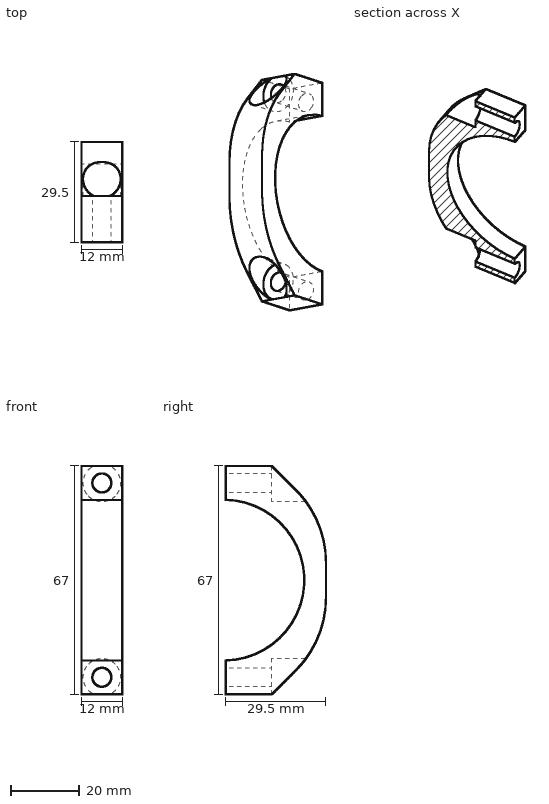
import cadquery as cq

width = 12.0
depth = 29.5
height = 67.0
corner_chamfer = 15.95
blend_radius = 30.0
bore_radius = 23.5
bore_setback = 0.5
bolt_spacing = 56.95
bolt_diameter = 5.5
head_diameter = 11.0
seat_depth = depth - corner_chamfer


def make_body():
    """Rectangular block with chamfered corners, blended into the back face."""
    block = cq.Workplane("XY").box(width, depth, height, centered=(True, False, True))
    chamfered = block.faces(">Y").edges("|X").chamfer(corner_chamfer)
    return chamfered.faces(">Y").edges("|X").fillet(blend_radius)


def cylinder_along_y(diameter, start_y, length, z):
    return cq.Workplane("XZ", origin=(0, start_y, z)).circle(diameter / 2).extrude(-length)


def make_bore():
    """Bore for the clamped tube, running along X."""
    return (
        cq.Workplane("YZ", origin=(0, -bore_setback, 0))
        .circle(bore_radius)
        .extrude(width / 2, both=True)
    )


result = make_body().cut(make_bore())

for side in (-1, 1):
    bolt_z = side * bolt_spacing / 2
    result = result.cut(cylinder_along_y(bolt_diameter, 0, depth, bolt_z))
    result = result.cut(cylinder_along_y(head_diameter, seat_depth, corner_chamfer, bolt_z))